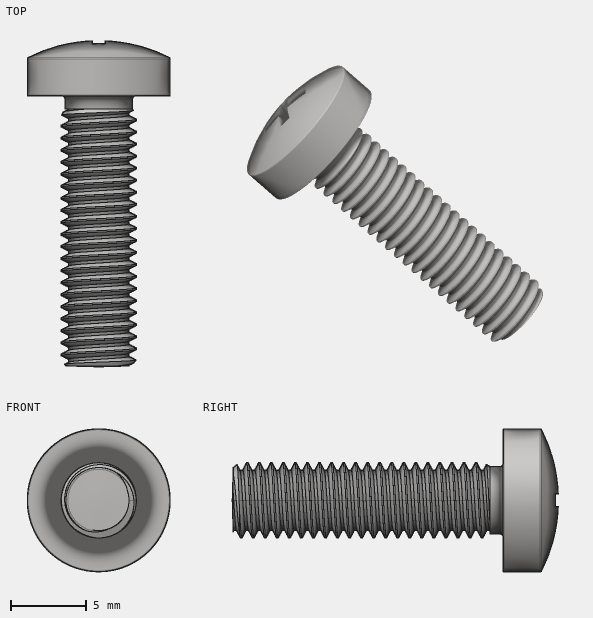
import cadquery as cq
import math


HEAD_RADIUS = 9.5 / 2
HEAD_RIM_HEIGHT = 2.52
HEAD_HEIGHT = 3.68
RIM_EDGE_FILLET = 0.05
CAP_EDGE_FILLET = 0.1

SHANK_LENGTH = 18.0
NECK_RADIUS = 4.5 / 2
NECK_LENGTH = 0.87
NECK_FILLET = 0.2
TIP_RADIUS = 4.36 / 2
TIP_CHAMFER_LENGTH = 0.42
TIP_CONE_RADIUS = 4.12 / 2
TIP_CONE_HEIGHT = 0.06

PITCH = 0.8
MAJOR_RADIUS = 5.0 / 2
THREAD_DEPTH = 0.6134 * PITCH
MINOR_RADIUS = MAJOR_RADIUS - THREAD_DEPTH
CREST_WIDTH = PITCH / 8
ROOT_WIDTH = PITCH / 4
RUN_IN_ANGLE = 28.0
ROOT_OVERLAP = 0.1

RECESS_SPAN = 4.2
RECESS_FLOOR_SPAN = 1.8
WING_WIDTH = 0.85
RECESS_DEPTH = 2.2


def make_head():
    """Cylindrical rim with a spherical cap on the side away from the shank."""
    return (
        cq.Workplane("XZ")
        .moveTo(0, 0)
        .lineTo(HEAD_RADIUS, 0)
        .lineTo(HEAD_RADIUS, -HEAD_RIM_HEIGHT)
        .threePointArc(*cap_arc())
        .close()
        .revolve(360, (0, 0), (0, 1))
        .faces("%CYLINDER")
        .edges("%CIRCLE")
        .edges("<Z")
        .fillet(CAP_EDGE_FILLET)
        .edges(">Z")
        .fillet(RIM_EDGE_FILLET)
    )


def cap_arc():
    """Middle and end points of the cap's profile arc, from the rim to the axis."""
    rise = HEAD_HEIGHT - HEAD_RIM_HEIGHT
    cap_radius = (HEAD_RADIUS**2 + rise**2) / (2 * rise)
    half_angle = math.asin(HEAD_RADIUS / cap_radius) / 2
    middle_radius = cap_radius * math.sin(half_angle)
    middle_drop = cap_radius * (1 - math.cos(half_angle))
    return (middle_radius, middle_drop - HEAD_HEIGHT), (0, -HEAD_HEIGHT)


def make_neck():
    """Plain neck, flared by a fillet where it meets the head."""
    flare_radius = NECK_RADIUS + NECK_FILLET
    bow = NECK_FILLET * (1 - math.sqrt(0.5))
    return (
        cq.Workplane("XZ")
        .moveTo(0, 0)
        .lineTo(flare_radius, 0)
        .threePointArc((NECK_RADIUS + bow, bow), (NECK_RADIUS, NECK_FILLET))
        .lineTo(NECK_RADIUS, NECK_LENGTH)
        .lineTo(0, NECK_LENGTH)
        .close()
        .revolve(360, (0, 0), (0, 1))
    )


def make_thread_envelope():
    """Body of revolution that limits the thread: run-in cone, major diameter, tip chamfer and cone."""
    run_in_length = (MAJOR_RADIUS - NECK_RADIUS) / math.tan(math.radians(RUN_IN_ANGLE))
    tip_edge = SHANK_LENGTH - TIP_CONE_HEIGHT
    return (
        cq.Workplane("XZ")
        .moveTo(0, NECK_LENGTH)
        .lineTo(NECK_RADIUS, NECK_LENGTH)
        .lineTo(MAJOR_RADIUS, NECK_LENGTH + run_in_length)
        .lineTo(MAJOR_RADIUS, tip_edge - TIP_CHAMFER_LENGTH)
        .lineTo(TIP_RADIUS, tip_edge)
        .lineTo(TIP_CONE_RADIUS, tip_edge)
        .lineTo(0, SHANK_LENGTH)
        .close()
        .revolve(360, (0, 0), (0, 1))
    )


def make_ridge_turn():
    """One turn of the thread ridge, with its crest crossing +X at z = 0 and z = PITCH."""
    half_crest = CREST_WIDTH / 2
    half_base = (PITCH - ROOT_WIDTH) / 2
    flank_slope = (half_base - half_crest) / THREAD_DEPTH
    half_foot = half_base + flank_slope * ROOT_OVERLAP
    foot_radius = MINOR_RADIUS - ROOT_OVERLAP
    helix = cq.Workplane(cq.Wire.makeHelix(PITCH, PITCH, MINOR_RADIUS))
    return (
        cq.Workplane("XZ")
        .moveTo(foot_radius, -half_foot)
        .lineTo(MAJOR_RADIUS, -half_crest)
        .lineTo(MAJOR_RADIUS, half_crest)
        .lineTo(foot_radius, half_foot)
        .close()
        .sweep(helix, isFrenet=True)
    )


def make_thread():
    """Core and thread ridge, built turn by turn, each turn cut back to the envelope."""
    envelope = make_thread_envelope()
    ridge_turn = make_ridge_turn()
    thread = cq.Workplane("XY").circle(MINOR_RADIUS).extrude(SHANK_LENGTH).intersect(envelope)
    for turn in range(math.ceil(SHANK_LENGTH / PITCH)):
        trimmed_turn = ridge_turn.translate((0, 0, turn * PITCH)).intersect(envelope)
        thread = thread.union(trimmed_turn, clean=False)
    return thread


def make_recess():
    """Cross-shaped driver recess whose four wings narrow towards its floor."""
    wing = (
        cq.Workplane("XZ")
        .moveTo(-RECESS_SPAN / 2, -HEAD_HEIGHT)
        .lineTo(RECESS_SPAN / 2, -HEAD_HEIGHT)
        .lineTo(RECESS_FLOOR_SPAN / 2, RECESS_DEPTH - HEAD_HEIGHT)
        .lineTo(-RECESS_FLOOR_SPAN / 2, RECESS_DEPTH - HEAD_HEIGHT)
        .close()
        .extrude(WING_WIDTH / 2, both=True)
    )
    return wing.union(wing.rotate((0, 0, 0), (0, 0, 1), 90))


screw = make_head().union(make_neck()).union(make_thread()).cut(make_recess())
result = screw.rotate((0, 0, 0), (1, 0, 0), 90)